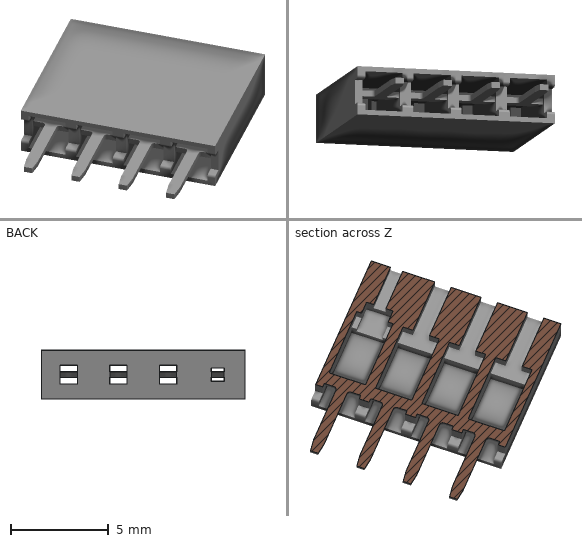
import cadquery as cq


housing_width = 10.41
housing_height = 2.5
overall_length = 11.7
pin_projection = 3.2
housing_length = overall_length - pin_projection

channel_depth = 0.57
channel_height = 1.28
channel_lip_radius = 0.15

contact_count = 4
contact_pitch = 2.54
contact_places = [(i - (contact_count - 1) / 2) * contact_pitch for i in range(contact_count)]

pocket_width = 1.97
pocket_height = 2.0
pocket_depth = 4.68
slot_height = 0.94
slot_depth = 5.38

window_width = 0.88
first_recess_width = 1.43
first_recess_height = 1.39
first_recess_depth = 6.08
first_window_width = 0.64
first_window_height = 0.67

contact_thickness = 0.3
plate_front = 0.8
plate_length = 0.7
pin_width = 0.62
pin_tip_width = 0.45
pin_taper_length = 0.67
root_radius = 0.16


def end_box(x, width, height, depth):
    """Box centred on x and mid-height, running from the pin-side end into the housing."""
    return cq.Workplane("XY").box(width, depth, height, centered=(True, False, True)).translate((x, 0, 0))


def make_housing():
    body = end_box(0, housing_width, housing_height, housing_length)
    body = body.cut(end_box(0, housing_width, channel_height, channel_depth))
    lips = cq.selectors.BoxSelector(
        (-housing_width, -channel_lip_radius, -channel_height / 2 - channel_lip_radius),
        (housing_width, channel_lip_radius, channel_height / 2 + channel_lip_radius),
    )
    return body.edges("|X").edges(lips).fillet(channel_lip_radius)


def make_cavity(x, is_first):
    cavity = end_box(x, pocket_width, pocket_height, pocket_depth)
    cavity = cavity.union(end_box(x, pocket_width, slot_height, slot_depth))
    if is_first:
        cavity = cavity.union(end_box(x, first_recess_width, first_recess_height, first_recess_depth))
        window = end_box(x, first_window_width, first_window_height, housing_length)
    else:
        window = end_box(x, window_width, slot_height, housing_length)
    return cavity.union(window)


def make_contact(x):
    half_plate = pocket_width / 2
    half_pin = pin_width / 2
    half_tip = pin_tip_width / 2
    plate_back = plate_front + plate_length
    root_start = plate_front - root_radius
    taper_start = pin_taper_length - pin_projection
    half_contact = (
        cq.Workplane("XY", origin=(x, 0, 0))
        .moveTo(0, -pin_projection)
        .lineTo(half_tip, -pin_projection)
        .lineTo(half_pin, taper_start)
        .lineTo(half_pin, root_start)
        .radiusArc((half_pin + root_radius, plate_front), root_radius)
        .lineTo(half_plate, plate_front)
        .lineTo(half_plate, plate_back)
        .lineTo(0, plate_back)
        .close()
        .extrude(contact_thickness / 2, both=True)
    )
    return half_contact.union(half_contact.mirror("YZ", (x, 0, 0)))


result = make_housing()
for place_number, place in enumerate(contact_places):
    result = result.cut(make_cavity(place, is_first=place_number == 0))
for place in contact_places:
    result = result.union(make_contact(place))